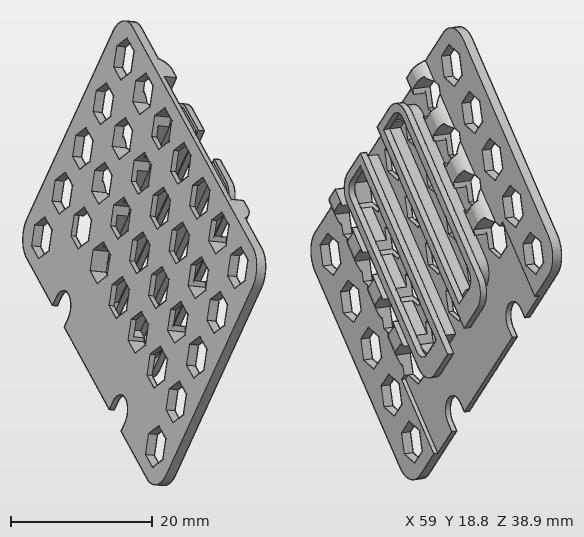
import cadquery as cq
LEAN = 22.5

PANEL_WIDTH = 59.0
PANEL_HEIGHT = 41.5
PANEL_CORNER = 4.0
SIDE_DEPTH = 1.5
FLOOR_DEPTH = 0.8
PANEL_TOP = PANEL_HEIGHT / 2
PANEL_BOTTOM = -PANEL_HEIGHT / 2

HEX_PITCH = 8.0
HEX_WIDTH = 5.95
HEX_COLUMNS = 7
HEX_ROWS = 5
BOTTOM_FULL_ROW = -HEX_PITCH

NOTCH_RADIUS = 2.5
NOTCH_SPACING = 24.0
NOTCH_HEIGHT = 3.95

RAIL_INNER = 14.15
RAIL_CREST = 16.35
RAIL_FOOT = 18.4
RAIL_DEPTH = 2.85
RAIL_SLOPE_RADIUS = 2.95
RECESS_HALF = 20.05

FRAME_INNER = 3.3
FRAME_OUTER = 11.6
FRAME_TOP_GAP = 1.0
FRAME_HEIGHT = 34.4
FRAME_CORNER = 3.25
FRAME_BAR = 1.3
FRAME_BOTTOM_BAR = 3.3
FRAME_FRONT = 2.6
FRAME_THICKNESS = 1.0
FRAME_BACK = FRAME_FRONT + FRAME_THICKNESS
FRAME_TOP = PANEL_TOP - FRAME_TOP_GAP
FRAME_BOTTOM = FRAME_TOP - FRAME_HEIGHT
WINDOW_INNER = FRAME_INNER + FRAME_BAR
WINDOW_OUTER = FRAME_OUTER - FRAME_BAR
WINDOW_TOP = FRAME_TOP - FRAME_BAR
WINDOW_CORNER = FRAME_CORNER - FRAME_BAR

RIM_SIDE_INSET = 0.25
RIM_TOP_INSET = 0.5
RIM_BOTTOM_INSET = 3.25
RIM_BOTTOM = FRAME_BOTTOM + RIM_BOTTOM_INSET

ALL_CORNERS = "|Z"
OUTER_CORNERS = "|Z and >X"


def plate(left, right, bottom, top, near, far, corner=0, edges=ALL_CORNERS):
    """Block between two depths behind the front face, with the chosen upright edges rounded."""
    block = (
        cq.Workplane("XY", origin=((left + right) / 2, (bottom + top) / 2, -far))
        .rect(right - left, top - bottom)
        .extrude(far - near)
    )
    if corner:
        block = block.edges(edges).fillet(corner)
    return block


def mirrored(body):
    return body.mirror("YZ")


def rail():
    """Right-hand rail: upright inner face, flat back and rounded outer slope."""
    return (
        cq.Workplane("XZ", origin=(0, PANEL_TOP, 0))
        .moveTo(RAIL_INNER, -FLOOR_DEPTH)
        .lineTo(RAIL_INNER, -RAIL_DEPTH)
        .lineTo(RAIL_CREST, -RAIL_DEPTH)
        .radiusArc((RAIL_FOOT, -SIDE_DEPTH), -RAIL_SLOPE_RADIUS)
        .lineTo(RAIL_FOOT, -FLOOR_DEPTH)
        .close()
        .extrude(PANEL_TOP - BOTTOM_FULL_ROW)
    )


def rim():
    """Right-hand raised rim, open in the middle."""
    outer = plate(FRAME_INNER + RIM_SIDE_INSET, FRAME_OUTER - RIM_SIDE_INSET,
                  RIM_BOTTOM, FRAME_TOP - RIM_TOP_INSET,
                  FLOOR_DEPTH, FRAME_FRONT, FRAME_CORNER - RIM_SIDE_INSET, OUTER_CORNERS)
    window = plate(WINDOW_INNER, WINDOW_OUTER, RIM_BOTTOM + FRAME_BAR, WINDOW_TOP,
                   FLOOR_DEPTH, FRAME_FRONT, WINDOW_CORNER, OUTER_CORNERS)
    return outer.cut(window)


def frame_plate():
    """Right-hand frame plate, lying on the back of its rim."""
    outer = plate(FRAME_INNER, FRAME_OUTER, FRAME_BOTTOM, FRAME_TOP,
                  FRAME_FRONT, FRAME_BACK, FRAME_CORNER, OUTER_CORNERS)
    window = plate(WINDOW_INNER, WINDOW_OUTER, FRAME_BOTTOM + FRAME_BOTTOM_BAR, WINDOW_TOP,
                   FRAME_FRONT, FRAME_BACK, WINDOW_CORNER, OUTER_CORNERS)
    return outer.cut(window)


def hex_openings():
    """Hexagonal prisms that pass through the panel, its rails and its rims."""
    centres = []
    for column in range(HEX_COLUMNS):
        for row in range(HEX_ROWS):
            outer_column = column in (0, HEX_COLUMNS - 1)
            if row == 0 and not outer_column:
                continue
            x = (column - (HEX_COLUMNS - 1) / 2) * HEX_PITCH
            y = (row - (HEX_ROWS - 1) / 2) * HEX_PITCH
            centres.append((x, y))
    return (
        cq.Workplane("XY", origin=(0, 0, -RAIL_DEPTH))
        .pushPoints(centres)
        .polygon(6, HEX_WIDTH)
        .extrude(RAIL_DEPTH)
    )


def notch(x):
    """Round-ended slot centred on the bottom edge."""
    return (
        cq.Workplane("XY", origin=(x, PANEL_BOTTOM, -SIDE_DEPTH))
        .slot2D(2 * NOTCH_HEIGHT, 2 * NOTCH_RADIUS, 90)
        .extrude(SIDE_DEPTH)
    )


def perforated_panel():
    panel = plate(-PANEL_WIDTH / 2, PANEL_WIDTH / 2, PANEL_BOTTOM, PANEL_TOP,
                  0, SIDE_DEPTH, PANEL_CORNER)
    channel = plate(-RAIL_INNER, RAIL_INNER, PANEL_BOTTOM, PANEL_TOP, FLOOR_DEPTH, SIDE_DEPTH)
    lower_recess = plate(-RECESS_HALF, RECESS_HALF, PANEL_BOTTOM, BOTTOM_FULL_ROW,
                         FLOOR_DEPTH, SIDE_DEPTH)
    panel = panel.cut(channel).cut(lower_recess)
    for raised in (rail(), rim()):
        panel = panel.union(raised).union(mirrored(raised))
    panel = panel.cut(hex_openings())
    for side in (-1, 1):
        panel = panel.cut(notch(side * NOTCH_SPACING / 2))
    return panel


def leaned_back(body):
    return body.rotate((0, 0, 0), (1, 0, 0), 90 - LEAN)


panel = leaned_back(perforated_panel())
right_frame = leaned_back(frame_plate())
left_frame = leaned_back(mirrored(frame_plate()))

result = cq.Compound.makeCompound([panel.val(), right_frame.val(), left_frame.val()])